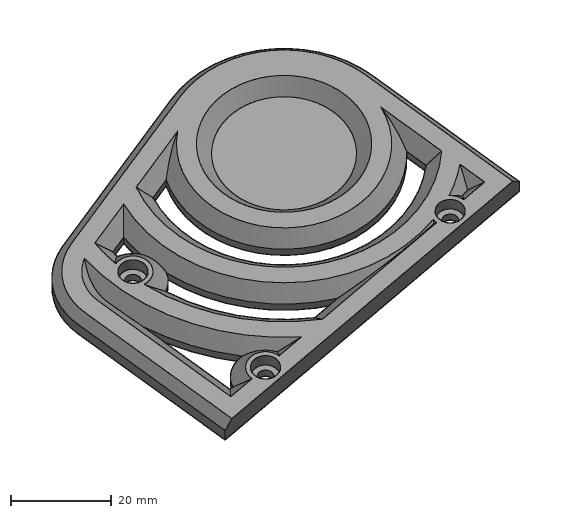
import cadquery as cq
import math

length = 86.6
thickness = 5.0
hub_radius = 26.0
foot_radius = 16.2
foot_y = -(length - hub_radius - foot_radius)
right_x = 40.0
top_y = hub_radius
bottom_y = foot_y - foot_radius

edge_chamfer = 2.0
land_width = 4.0
base_height = 2.0
slope = thickness - base_height
rim_width = edge_chamfer + land_width

cup_radius = 17.5
ring_inner_radii = (31.5, 45.5)

boss_x = right_x - land_width
boss_radius = 4.0
screw_hole_diameter = 3.4
screw_head_diameter = 6.0
screw_seat_height = 2.0
upper_boss_y = 9.9
boss_centres = ((0, foot_y), (boss_x, foot_y), (boss_x, upper_boss_y))


def plate_outline(inset, right_inset):
    """Closed outline of the plate, moved inwards by the given distances."""
    hub = hub_radius - inset
    foot = foot_radius - inset
    lean = math.asin((hub_radius - foot_radius) / -foot_y)
    x = right_x - right_inset

    def on_arc(radius, centre_y, angle):
        return (radius * math.cos(angle), centre_y + radius * math.sin(angle))

    tangent = math.pi + lean
    hub_middle = (math.pi / 2 + tangent) / 2
    foot_middle = (tangent + 1.5 * math.pi) / 2
    return (
        cq.Workplane("XY")
        .moveTo(x, top_y - inset)
        .lineTo(0, top_y - inset)
        .threePointArc(on_arc(hub, 0, hub_middle), on_arc(hub, 0, tangent))
        .lineTo(*on_arc(foot, foot_y, tangent))
        .threePointArc(on_arc(foot, foot_y, foot_middle), (0, bottom_y + inset))
        .lineTo(x, bottom_y + inset)
        .close()
    )


def sloped_disc(top_radius):
    """Disc with a straight base and a 45 degree cone up to the top face."""
    base_radius = top_radius + slope
    return (
        cq.Workplane("XY")
        .circle(base_radius)
        .extrude(thickness)
        .faces(">Z")
        .chamfer(slope)
    )


def funnel(top_radius):
    """Cone that widens at 45 degrees from the base height to the top face."""
    return (
        cq.Workplane("XY", origin=(0, 0, base_height))
        .circle(top_radius - slope)
        .extrude(slope, taper=-45)
    )


def sloped_hole(top_radius):
    """Round opening that narrows at 45 degrees down to the straight base."""
    throat_radius = top_radius - slope
    throat = cq.Workplane("XY").circle(throat_radius).extrude(base_height)
    return throat.union(funnel(top_radius))


def make_plate():
    """Solid plate, chamfered all round except along the mounting edge."""
    return (
        plate_outline(0, 0)
        .extrude(thickness)
        .faces(">Z")
        .edges("not >X")
        .chamfer(edge_chamfer)
    )


def make_window():
    """Opening inside the rim, with walls sloping inwards below the top face."""
    throat = plate_outline(rim_width + slope, land_width + slope).extrude(base_height)
    flare = (
        plate_outline(rim_width, land_width)
        .extrude(-slope, taper=45)
        .translate((0, 0, thickness))
    )
    return throat.union(flare)


def make_ribs():
    """Hub disc, concentric rings and screw bosses that fill the window."""
    ribs = sloped_disc(cup_radius + land_width)
    for inner_radius in ring_inner_radii:
        ring = sloped_disc(inner_radius + land_width).cut(sloped_hole(inner_radius))
        ribs = ribs.union(ring)
    for x, y in boss_centres:
        ribs = ribs.union(sloped_disc(boss_radius).translate((x, y, 0)))
    return ribs


def make_screw_holes():
    """Through holes with a counterbore for each screw head."""
    shanks = (
        cq.Workplane("XY")
        .pushPoints(boss_centres)
        .circle(screw_hole_diameter / 2)
        .extrude(thickness)
    )
    heads = (
        cq.Workplane("XY", origin=(0, 0, screw_seat_height))
        .pushPoints(boss_centres)
        .circle(screw_head_diameter / 2)
        .extrude(thickness - screw_seat_height)
    )
    return shanks.union(heads)


plate = make_plate()
rim = plate.cut(make_window())
ribs = make_ribs().intersect(plate)
result = rim.union(ribs).cut(funnel(cup_radius)).cut(make_screw_holes())